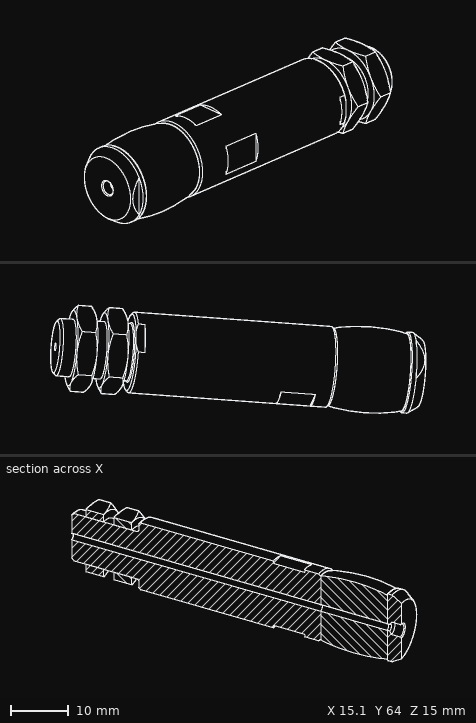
import cadquery as cq
import math

total_length = 64.0
bore_d = 1.3

nose_d = 14.0
nose_cone_end = 1.8
nose_length = 2.8
nose_face_d = 12.0
nose_face_edge = 0.25
nose_back_bevel = 0.2
nose_across_flats = 12.0
mouth_d = 2.5
mouth_depth = 1.9
mouth_edge = 0.2
mouth_cone_angle = 59.0

sleeve_end = 15.7
sleeve_max_d = 15.0
sleeve_shoulder_d = 13.95
sleeve_end_d = 13.4
sleeve_bevel = 1.0

housing_d = 14.0
housing_end = 51.0
housing_front_bevel = 0.4
housing_rear_bevel = 0.4
housing_across_flats = 13.0
shank_d = 10.0
shank_end_bevel = 0.5
shank_root_bevel = 0.2
window_start = 18.8
window_length = 6.0
side_flat_start = 22.2
side_flat_length = 7.2
side_flat_offset = 6.45
rear_flat_length = 1.55

nut_corner_d = 15.05
nut_across_flats = nut_corner_d * math.cos(math.radians(30))
nut_thickness = 3.5
nut_starts = [52.3, 57.7]
nut_bevel_angle = 30.0


def revolve_about_y(profile):
    """Revolve a closed (radius, Y) profile a full turn about the Y axis."""
    return profile.close().revolve(360, (0, 0, 0), (0, 1, 0))


def cylinder(diameter, start, length):
    """Cylinder on the Y axis, from start towards +Y."""
    plane = cq.Plane(origin=(0, start, 0), xDir=(1, 0, 0), normal=(0, 1, 0))
    return cq.Workplane(plane).circle(diameter / 2).extrude(length)


def flat_cutter(across_flats, start, length, angle):
    """Block outside a flat whose outward normal is +X turned by angle about Y."""
    size = 2 * housing_d
    block = cq.Workplane("XY").box(size, length, size, centered=(False, False, True))
    block = block.translate((across_flats / 2, start, 0))
    return block.rotate((0, 0, 0), (0, 1, 0), angle)


def make_nose():
    face_r = nose_face_d / 2
    profile = (
        cq.Workplane("XY")
        .moveTo(0, 0)
        .lineTo(face_r - nose_face_edge, 0)
        .lineTo(face_r, nose_face_edge)
        .lineTo(nose_d / 2, nose_cone_end)
        .lineTo(nose_d / 2, nose_length - nose_back_bevel)
        .lineTo(nose_d / 2 - nose_back_bevel, nose_length)
        .lineTo(0, nose_length)
    )
    nose = revolve_about_y(profile)
    for angle in (0, 180):
        nose = nose.cut(flat_cutter(nose_across_flats, 0, nose_cone_end, angle))
    mouth_r = mouth_d / 2
    cone_length = (mouth_r - bore_d / 2) / math.tan(math.radians(mouth_cone_angle))
    mouth = revolve_about_y(
        cq.Workplane("XY")
        .moveTo(0, 0)
        .lineTo(mouth_r + mouth_edge, 0)
        .lineTo(mouth_r, mouth_edge)
        .lineTo(mouth_r, mouth_depth)
        .lineTo(bore_d / 2, mouth_depth + cone_length)
        .lineTo(0, mouth_depth + cone_length)
    )
    return nose.cut(mouth).cut(cylinder(bore_d, 0, nose_length))


def make_sleeve():
    middle = (nose_length + sleeve_end) / 2
    shoulder_r = sleeve_shoulder_d / 2
    profile = (
        cq.Workplane("XY")
        .moveTo(bore_d / 2, nose_length)
        .lineTo(sleeve_end_d / 2, nose_length)
        .lineTo(shoulder_r, nose_length + sleeve_bevel)
        .threePointArc((sleeve_max_d / 2, middle), (shoulder_r, sleeve_end - sleeve_bevel))
        .lineTo(sleeve_end_d / 2, sleeve_end)
        .lineTo(bore_d / 2, sleeve_end)
    )
    return revolve_about_y(profile)


def make_housing():
    housing_r = housing_d / 2
    shank_r = shank_d / 2
    profile = (
        cq.Workplane("XY")
        .moveTo(bore_d / 2, sleeve_end)
        .lineTo(housing_r - housing_front_bevel, sleeve_end)
        .lineTo(housing_r, sleeve_end + housing_front_bevel)
        .lineTo(housing_r, housing_end - housing_rear_bevel)
        .lineTo(housing_r - housing_rear_bevel, housing_end)
        .lineTo(shank_r + shank_root_bevel, housing_end)
        .lineTo(shank_r, housing_end + shank_root_bevel)
        .lineTo(shank_r, total_length - shank_end_bevel)
        .lineTo(shank_r - shank_end_bevel, total_length)
        .lineTo(bore_d / 2, total_length)
    )
    housing = revolve_about_y(profile)
    for angle in (90, -90):
        housing = housing.cut(flat_cutter(housing_across_flats, window_start, window_length, angle))
    housing = housing.cut(flat_cutter(2 * side_flat_offset, side_flat_start, side_flat_length, 0))
    rear_flat_start = housing_end - rear_flat_length
    for angle in (0, 180):
        housing = housing.cut(flat_cutter(housing_across_flats, rear_flat_start, rear_flat_length, angle))
    return housing


def make_nut(start):
    """Hexagon nut with corners on X and both faces bevelled down to the flats."""
    plane = cq.Plane(origin=(0, start, 0), xDir=(1, 0, 0), normal=(0, 1, 0))
    hexagon = cq.Workplane(plane).polygon(6, nut_corner_d).extrude(nut_thickness)
    face_r = nut_across_flats / 2
    corner_r = nut_corner_d / 2
    bevel = (corner_r - face_r) * math.tan(math.radians(nut_bevel_angle))
    end = start + nut_thickness
    envelope = revolve_about_y(
        cq.Workplane("XY")
        .moveTo(shank_d / 2, start)
        .lineTo(face_r, start)
        .lineTo(corner_r, start + bevel)
        .lineTo(corner_r, end - bevel)
        .lineTo(face_r, end)
        .lineTo(shank_d / 2, end)
    )
    return hexagon.intersect(envelope)


nose = make_nose()
sleeve = make_sleeve()
housing = make_housing()
nuts = [make_nut(start) for start in nut_starts]

result = cq.Compound.makeCompound(
    [nose.val(), sleeve.val(), housing.val(), *[nut.val() for nut in nuts]]
)